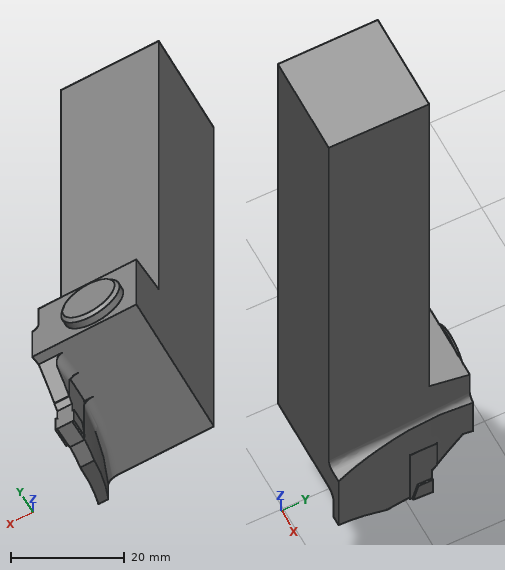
import cadquery as cq
import math

total_height = 126.4
shank_width = 20.0
shank_depth = 20.0
side_relief = 0.3

head_bottom = 14.8
head_depth = 28.0
head_slope_low = 31.6
head_slope_high = 33.6
flange_top = 21.9
flange_rise = 2.3
flange_fillet = 1.5

outer_edge_x = 23.8
outer_crest_x = 20.6
inner_edge_x = 21.7
inner_crest_x = 17.5
blade_crest_y = 19.3
blade_bottom = 1.0
blade_bevel_y = 11.0
blade_bevel_z = 7.5
blade_tail_y = 26.2
blade_fillet = 1.9

screw_diameter = 11.9
screw_x = 8.6
screw_z = 21.7
screw_height = 2.0
screw_chamfer = 0.6

insert_y_min = 15.8
insert_y_max = 21.2
insert_x_min = inner_crest_x
insert_x_max = outer_crest_x
rake_y = 20.2
rake_start_z = 6.6
rake_ramp_z = 7.7
tip_overhang = 0.4
tip_height = 4.0
tip_heel_y = 17.3
tip_clearance_y = 16.3
end_clearance = 0.3


def arc_x(edge_x, crest_x, y):
    """X at depth y on the arc that starts at edge_x and crests at blade_crest_y."""
    rise = edge_x - crest_x
    radius = (blade_crest_y ** 2 + rise ** 2) / (2 * rise)
    return crest_x + radius - math.sqrt(radius ** 2 - (y - blade_crest_y) ** 2)


def prism_along_x(points, x_min, x_max):
    """Extrude a (y, z) outline between two X positions."""
    return cq.Workplane("YZ", origin=(x_min, 0, 0)).polyline(points).close().extrude(x_max - x_min)


def make_shank_and_head():
    plan = [(side_relief, 0), (shank_width, 0), (shank_width, head_depth), (0, head_depth)]
    block = (
        cq.Workplane("XY", origin=(0, 0, head_bottom))
        .polyline(plan).close().extrude(total_height - head_bottom)
    )
    side_outline = [
        (0, head_bottom), (head_depth, head_bottom), (head_depth, head_slope_low),
        (shank_depth, head_slope_high), (shank_depth, total_height), (0, total_height),
    ]
    return block.intersect(prism_along_x(side_outline, 0, shank_width))


def make_flange():
    """Curved side of the head, topped by a rising ledge with a fillet to the shank."""
    back_x = arc_x(outer_edge_x, outer_crest_x, head_depth)
    flange = (
        cq.Workplane("XY", origin=(0, 0, head_bottom))
        .moveTo(insert_x_min, 0)
        .lineTo(outer_edge_x, 0)
        .threePointArc((outer_crest_x, blade_crest_y), (back_x, head_depth))
        .lineTo(insert_x_min, head_depth)
        .close()
        .extrude(head_slope_low - head_bottom)
    )
    ledge_profile = (
        cq.Workplane("XZ")
        .moveTo(insert_x_min, head_bottom)
        .lineTo(outer_edge_x, head_bottom)
        .lineTo(outer_edge_x, flange_top)
        .lineTo(shank_width + flange_fillet, flange_top)
        .radiusArc((shank_width, flange_top + flange_fillet), flange_fillet)
        .lineTo(insert_x_min, flange_top + flange_fillet)
        .close()
    )
    direction = cq.Vector(0, head_depth, flange_rise)
    ledge = cq.Solid.extrudeLinear(ledge_profile.val(), [], direction)
    base = cq.Workplane("XY", origin=(insert_x_min, 0, head_bottom)).box(
        outer_edge_x - insert_x_min, head_depth, flange_top - head_bottom, centered=False
    )
    return flange.intersect(base.union(cq.Workplane(ledge)))


def make_blade():
    plan = (
        cq.Workplane("XY")
        .moveTo(inner_edge_x, 0)
        .lineTo(outer_edge_x, 0)
        .threePointArc(
            (outer_crest_x, blade_crest_y),
            (arc_x(outer_edge_x, outer_crest_x, blade_tail_y), blade_tail_y),
        )
        .lineTo(arc_x(inner_edge_x, inner_crest_x, blade_tail_y), blade_tail_y)
        .threePointArc((inner_crest_x, blade_crest_y), (inner_edge_x, 0))
        .close()
        .extrude(head_bottom)
    )
    side_outline = [
        (0, head_bottom), (0, blade_bevel_z), (blade_bevel_y, blade_bottom),
        (insert_y_min, blade_bottom), (rake_y, rake_start_z), (blade_tail_y, head_bottom),
    ]
    return plan.intersect(prism_along_x(side_outline, inner_crest_x, outer_edge_x))


def make_screw_head():
    return (
        cq.Workplane("XZ", origin=(screw_x, head_depth, screw_z))
        .circle(screw_diameter / 2).extrude(-screw_height)
        .faces(">Y").edges().chamfer(screw_chamfer)
    )


def make_insert():
    shaft_outline = [
        (insert_y_min, end_clearance), (rake_y, 0), (rake_y, rake_start_z),
        (insert_y_max, rake_ramp_z), (insert_y_max, head_bottom), (insert_y_min, head_bottom),
    ]
    tip_outline = [
        (tip_clearance_y, end_clearance), (rake_y, 0),
        (rake_y, tip_height), (tip_heel_y, tip_height),
    ]
    shaft = prism_along_x(shaft_outline, insert_x_min, insert_x_max)
    tip = prism_along_x(tip_outline, insert_x_min - tip_overhang, insert_x_max + tip_overhang)
    return shaft.union(tip)


def make_holder():
    holder = make_shank_and_head().union(make_flange()).union(make_blade())
    root_edge = cq.selectors.NearestToPointSelector((inner_crest_x, blade_crest_y / 2, head_bottom))
    holder = holder.edges(root_edge).fillet(blade_fillet)
    insert_slot = cq.Workplane("XY", origin=(0, insert_y_min, 0)).box(
        outer_edge_x, insert_y_max - insert_y_min, head_bottom, centered=False
    )
    return holder.cut(insert_slot).union(make_screw_head())


holder = make_holder()
insert = make_insert()
result = cq.Compound.makeCompound([holder.solids().val(), insert.solids().val()])